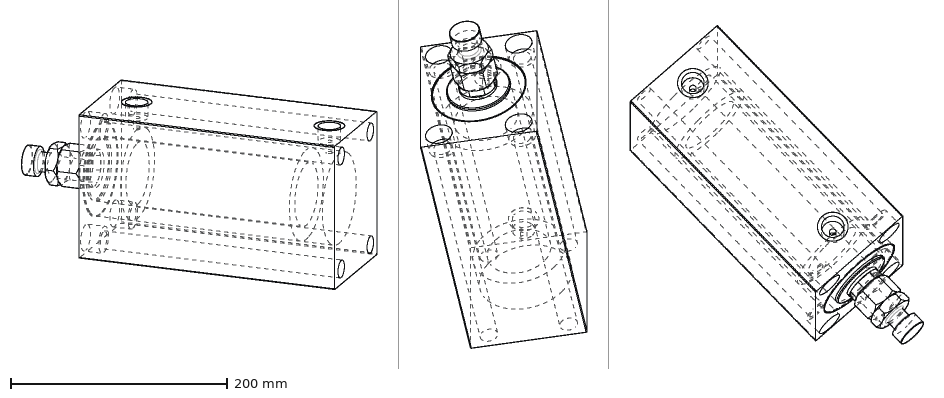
import cadquery as cq
import math

overall_length = 326.0
rod_protrusion = 3.0

housing_width = 110.0
housing_height = 140.0
housing_edge_chamfer = 1.0
end_wall = 16.3
bore_dia = 87.5
bore_mouth_chamfer = 1.0

mount_pitch_y = 75.0
mount_pitch_z = 110.2
mount_hole_dia = 16.5
mount_counterbore_dia = 25.0
mount_counterbore_depth = 18.0

front_port_x = 36.2
port_pitch = 191.0
port_spotface_dia = 28.5
port_spotface_depth = 0.3
port_thread_dia = 21.0
port_thread_depth = 15.3
port_passage_dia = 6.2

gland_length = 37.2
rod_dia = 60.0
rod_chamfer = 1.0
piston_length = 32.5

head_length = 12.0
head_dia = 28.5
head_chamfer = 0.5
neck_length = 12.7
neck_dia = 18.5
neck_fillet = 2.0
short_hex_length = 11.7
long_hex_length = 22.5
hex_across_flats = 36.0
hex_chamfer_length = 2.3
flats_length = 7.8
flats_across = 32.5
flats_round_dia = 35.5
collar_length = 3.0
collar_dia = 36.0

coupling_length = (
    head_length + neck_length + short_hex_length + long_hex_length + flats_length + collar_length
)
rod_face_x = -rod_protrusion
stud_tip_x = rod_face_x - coupling_length
housing_length = overall_length + stud_tip_x
bore_depth = housing_length - end_wall
piston_front_x = bore_depth - piston_length


def rod_along_x(start_x, length, diameter):
    """Solid cylinder on the main axis, starting at start_x and running towards +X."""
    return cq.Workplane("YZ", origin=(start_x, 0, 0)).circle(diameter / 2).extrude(length)


def make_block():
    """Rectangular block with its four long edges broken."""
    block = cq.Workplane("YZ").rect(housing_width, housing_height).extrude(housing_length)
    return block.edges("|X").chamfer(housing_edge_chamfer)


def cut_bore(block):
    """Blind bore from the front face, with a chamfered mouth."""
    bore = rod_along_x(0, bore_depth, bore_dia)
    mouth = (
        cq.Workplane("YZ")
        .circle(bore_dia / 2 + bore_mouth_chamfer)
        .workplane(offset=bore_mouth_chamfer)
        .circle(bore_dia / 2)
        .loft(ruled=True)
    )
    return block.cut(bore).cut(mouth)


def cut_mounting_holes(block):
    """Four through holes with deep counterbores in the front face."""
    corners = cq.Workplane("YZ").rect(mount_pitch_y, mount_pitch_z, forConstruction=True).vertices()
    holes = corners.circle(mount_hole_dia / 2).extrude(housing_length)
    counterbores = corners.circle(mount_counterbore_dia / 2).extrude(mount_counterbore_depth)
    return block.cut(holes).cut(counterbores)


def cut_port(block, port_x):
    """Spot-faced oil port with a narrow passage down into the bore."""
    top = cq.Workplane("XY", origin=(port_x, 0, housing_height / 2))
    spotface = top.circle(port_spotface_dia / 2).extrude(-port_spotface_depth)
    thread_hole = top.circle(port_thread_dia / 2).extrude(-port_thread_depth)
    passage = top.circle(port_passage_dia / 2).extrude(-housing_height / 2)
    return block.cut(spotface).cut(thread_hole).cut(passage)


def make_housing():
    housing = cut_mounting_holes(cut_bore(make_block()))
    for port_x in (front_port_x, front_port_x + port_pitch):
        housing = cut_port(housing, port_x)
    return housing


def make_gland():
    """Guide bush that closes the front of the bore around the rod."""
    return rod_along_x(0, gland_length, bore_dia).cut(rod_along_x(0, gland_length, rod_dia))


def make_piston_rod():
    """Retracted rod with its piston resting on the bottom of the bore."""
    rod = rod_along_x(rod_face_x, piston_front_x - rod_face_x, rod_dia)
    rod = rod.faces("<X").edges().chamfer(rod_chamfer)
    return rod.union(rod_along_x(piston_front_x, piston_length, bore_dia))


def make_hex(start_x, length):
    """Hexagon with flats facing +Z and -Z, its corners turned off at both ends."""
    corner_radius = hex_across_flats / 2 / math.cos(math.pi / 6)
    end_radius = hex_across_flats / 2
    prism = cq.Workplane("YZ", origin=(start_x, 0, 0)).polygon(6, 2 * corner_radius).extrude(length)
    turned = (
        cq.Workplane("XY", origin=(start_x, 0, 0))
        .polyline(
            [
                (0, 0),
                (0, end_radius),
                (hex_chamfer_length, corner_radius),
                (length - hex_chamfer_length, corner_radius),
                (length, end_radius),
                (length, 0),
            ]
        )
        .close()
        .revolve(360, (0, 0, 0), (1, 0, 0))
    )
    return prism.intersect(turned)


def make_head_and_neck():
    """Round T-head and a neck that flares with a fillet into the faces at both ends."""
    neck_end = head_length + neck_length
    neck_radius = neck_dia / 2
    flare_radius = neck_radius + neck_fillet
    fillet_mid = neck_fillet * (1 - math.sqrt(0.5))
    return (
        cq.Workplane("XY", origin=(stud_tip_x, 0, 0))
        .moveTo(0, 0)
        .lineTo(0, head_dia / 2 - head_chamfer)
        .lineTo(head_chamfer, head_dia / 2)
        .lineTo(head_length, head_dia / 2)
        .lineTo(head_length, flare_radius)
        .threePointArc(
            (head_length + fillet_mid, neck_radius + fillet_mid),
            (head_length + neck_fillet, neck_radius),
        )
        .lineTo(neck_end - neck_fillet, neck_radius)
        .threePointArc(
            (neck_end - fillet_mid, neck_radius + fillet_mid),
            (neck_end, flare_radius),
        )
        .lineTo(neck_end, 0)
        .close()
        .revolve(360, (0, 0, 0), (1, 0, 0))
    )


def make_coupling():
    """T-headed stud with a double hexagon, four wrench flats and a collar seated on the rod."""
    short_hex_x = stud_tip_x + head_length + neck_length
    long_hex_x = short_hex_x + short_hex_length
    flats_x = long_hex_x + long_hex_length
    collar_x = flats_x + flats_length
    square = cq.Workplane("YZ", origin=(flats_x, 0, 0)).rect(flats_across, flats_across)
    flats = rod_along_x(flats_x, flats_length, flats_round_dia)
    flats = flats.intersect(square.extrude(flats_length))
    return (
        make_head_and_neck()
        .union(make_hex(short_hex_x, short_hex_length))
        .union(make_hex(long_hex_x, long_hex_length))
        .union(flats)
        .union(rod_along_x(collar_x, collar_length, collar_dia))
    )


housing = make_housing()
gland = make_gland()
piston_rod = make_piston_rod()
coupling = make_coupling()

result = cq.Compound.makeCompound(
    [housing.val(), gland.val(), piston_rod.val(), coupling.val()]
)